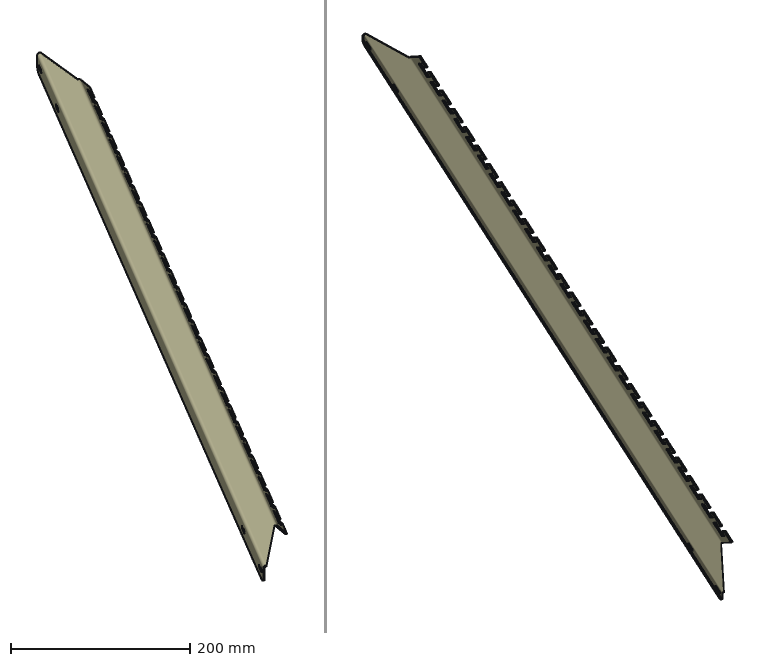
import cadquery as cq
import math

length = 760.5
depth = 46.0
height = 32.0

thickness = 2.0
inner_radius = 2.0
outer_radius = inner_radius + thickness
lip_angle = math.radians(60)
lip_length = 662.0
lip_slant = 23.0

wall_corner_radius = 7.0
slot_length = 10.0
slot_height = 4.5
slot_z = 14.5
slot_end_distances = (10.0, 68.0)

notch_count = 26
notch_row_length = 625.0
notch_pitch = notch_row_length / (notch_count - 1)
mouth_width = 7.0
mouth_depth = 7.0
pocket_width = 18.0
pocket_depth = 6.0

front_bend_y = outer_radius
bend_centre_z = height - outer_radius

down_y, down_z = math.cos(lip_angle), -math.sin(lip_angle)
out_y, out_z = math.sin(lip_angle), math.cos(lip_angle)

rear_bend_y = depth - outer_radius * out_y - lip_slant * down_y


def rear_bend_point(radius, angle):
    """Point on the rear bend, with the angle measured from vertical towards the lip."""
    return (rear_bend_y + radius * math.sin(angle), bend_centre_z + radius * math.cos(angle))


def down_lip(point):
    """Point moved along the lip to its free edge."""
    return (point[0] + lip_slant * down_y, point[1] + lip_slant * down_z)


def front_bend_middle(radius):
    """Point halfway round the front bend."""
    offset = radius * math.sqrt(0.5)
    return (front_bend_y - offset, bend_centre_z + offset)


def bent_sheet():
    """Front wall, flat top and rear lip as one bent profile over the full length."""
    lip_outer_start = rear_bend_point(outer_radius, lip_angle)
    lip_inner_start = rear_bend_point(inner_radius, lip_angle)
    return (
        cq.Workplane("YZ")
        .moveTo(0, 0)
        .lineTo(0, bend_centre_z)
        .threePointArc(front_bend_middle(outer_radius), (front_bend_y, height))
        .lineTo(rear_bend_y, height)
        .threePointArc(rear_bend_point(outer_radius, lip_angle / 2), lip_outer_start)
        .lineTo(*down_lip(lip_outer_start))
        .lineTo(*down_lip(lip_inner_start))
        .lineTo(*lip_inner_start)
        .threePointArc(rear_bend_point(inner_radius, lip_angle / 2), (rear_bend_y, height - thickness))
        .lineTo(front_bend_y, height - thickness)
        .threePointArc(front_bend_middle(inner_radius), (thickness, bend_centre_z))
        .lineTo(thickness, 0)
        .close()
        .extrude(length / 2, both=True)
    )


def plan_outline():
    """Prism that tapers the top from the long wall to the shorter lip."""
    half_wall = length / 2
    half_lip = lip_length / 2
    return (
        cq.Workplane("XY")
        .polyline([
            (-half_wall, 0),
            (half_wall, 0),
            (half_wall, front_bend_y),
            (half_lip, rear_bend_y),
            (half_lip, depth),
            (-half_lip, depth),
            (-half_lip, rear_bend_y),
            (-half_wall, front_bend_y),
        ])
        .close()
        .extrude(height)
    )


def wall_slots():
    """Cutters for the round-ended slots in the front wall."""
    centres = []
    for distance in slot_end_distances:
        x = length / 2 - distance
        centres += [(-x, slot_z), (x, slot_z)]
    return (
        cq.Workplane("XZ")
        .pushPoints(centres)
        .slot2D(slot_length, slot_height)
        .extrude(-thickness)
    )


def lip_notches():
    """Cutters for the row of T-shaped notches open at the lip's free edge."""
    edge_y, edge_z = down_lip(rear_bend_point(outer_radius, lip_angle))
    edge_plane = cq.Plane(origin=(0, edge_y, edge_z), xDir=(-1, 0, 0), normal=(0, out_y, out_z))
    first_x = -notch_row_length / 2
    centres = [first_x + index * notch_pitch for index in range(notch_count)]
    mouths = (
        cq.Workplane(edge_plane)
        .pushPoints([(x, mouth_depth / 2) for x in centres])
        .rect(mouth_width, mouth_depth)
        .extrude(-thickness)
    )
    pockets = (
        cq.Workplane(edge_plane)
        .pushPoints([(x, mouth_depth + pocket_depth / 2) for x in centres])
        .rect(pocket_width, pocket_depth)
        .extrude(-thickness)
    )
    return mouths.union(pockets)


sheet = bent_sheet().intersect(plan_outline())
sheet = sheet.edges("|Y").edges("<Z").fillet(wall_corner_radius)
sheet = sheet.cut(wall_slots()).cut(lip_notches())

result = sheet.translate((0, -depth / 2, -height / 2))